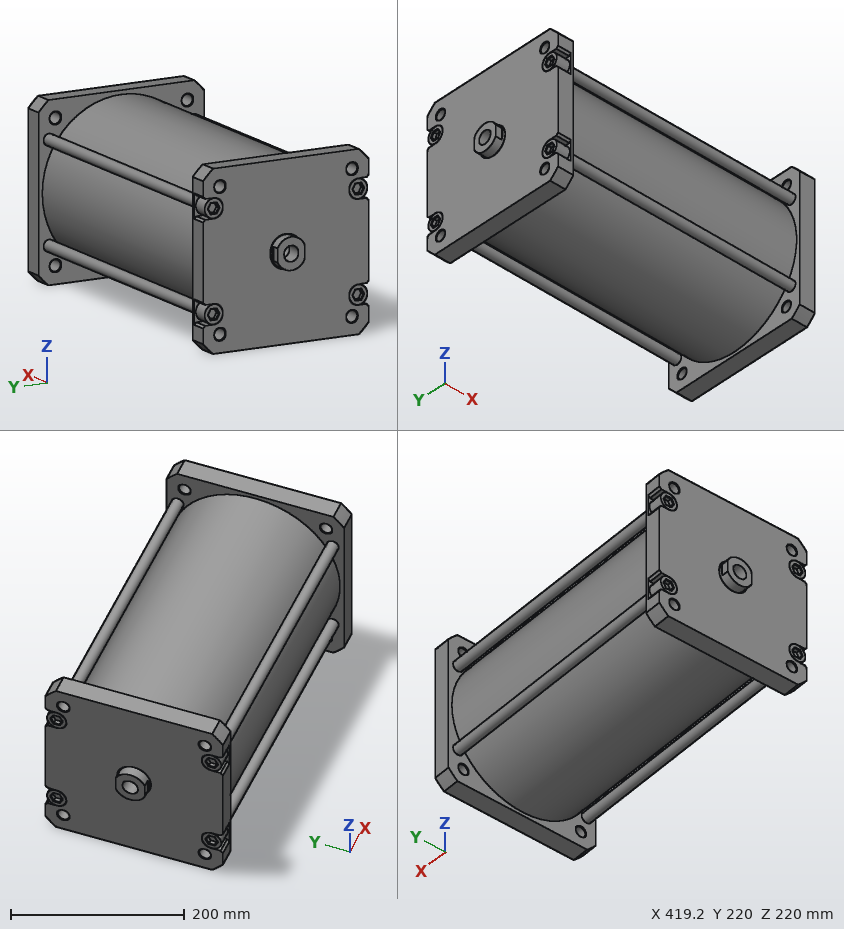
import cadquery as cq
import math

total_length = 419.2
plate_thickness = 24.5
rod_projection = 12.0
front_plate_x = rod_projection
barrel_x = front_plate_x + plate_thickness
rear_plate_x = total_length - plate_thickness
barrel_length = rear_plate_x - barrel_x

plate_side = 220.0
plate_corner_diameter = 293.0
mounting_hole_offset = 87.5
mounting_hole_diameter = 14.3
mounting_hole_chamfer = 1.0

barrel_diameter = 210.0

bolt_y = 96.0
bolt_z = 63.0
bolt_diameter = 14.5
bolt_head_diameter = 24.0
bolt_head_length = 20.5
bolt_thread_depth = 20.0
socket_width = 12.0
socket_depth = 6.0
socket_chamfer = 1.0
head_slot_width = 24.7
slot_mouth_chamfer = 3.0

rod_diameter = 40.0
rod_bore_chamfer = 1.3
flat_width = 36.0
flat_length = 9.5
rod_hole_diameter = 19.3
rod_hole_depth = 21.0
drill_point_angle = 118.0

bolt_positions = [(y, z) for y in (-bolt_y, bolt_y) for z in (-bolt_z, bolt_z)]


def section_at(x):
    """Workplane facing +X at the given x, with local axes along Y and Z."""
    return cq.Workplane("YZ", origin=(x, 0, 0))


def make_cylinder(x, diameter, length, y=0.0, z=0.0):
    return section_at(x).center(y, z).circle(diameter / 2).extrude(length)


def make_chamfered_hole(x, diameter, chamfer, y=0.0, z=0.0):
    """Cutter for a plate through hole with a 45 degree chamfer at its -X end."""
    hole = make_cylinder(x, diameter, plate_thickness, y, z)
    rim = section_at(x).center(y, z).circle(diameter / 2 + chamfer).extrude(chamfer, taper=45)
    return hole.union(rim)


def make_plain_plate(x):
    """End plate with turned corners and mounting holes chamfered on the -X face."""
    plate = section_at(x).rect(plate_side, plate_side).extrude(plate_thickness)
    plate = plate.intersect(make_cylinder(x, plate_corner_diameter, plate_thickness))
    for y in (-mounting_hole_offset, mounting_hole_offset):
        for z in (-mounting_hole_offset, mounting_hole_offset):
            plate = plate.cut(make_chamfered_hole(x, mounting_hole_diameter, mounting_hole_chamfer, y, z))
    return plate


def make_head_slot(y, z):
    """Round-ended slot for a bolt head, open to the nearest Y side with a chamfered mouth."""
    side = math.copysign(1, y)
    edge_y = side * plate_side / 2
    half_width = head_slot_width / 2
    mouth_half_width = half_width + slot_mouth_chamfer
    mouth_y = edge_y - side * slot_mouth_chamfer
    return (
        section_at(front_plate_x)
        .moveTo(y, z + half_width)
        .lineTo(mouth_y, z + half_width)
        .lineTo(edge_y, z + mouth_half_width)
        .lineTo(edge_y, z - mouth_half_width)
        .lineTo(mouth_y, z - half_width)
        .lineTo(y, z - half_width)
        .threePointArc((y - side * half_width, z), (y, z + half_width))
        .close()
        .extrude(bolt_head_length)
    )


def make_front_plate():
    plate = make_plain_plate(front_plate_x)
    plate = plate.cut(make_chamfered_hole(front_plate_x, rod_diameter, rod_bore_chamfer))
    for y, z in bolt_positions:
        plate = plate.cut(make_head_slot(y, z))
        plate = plate.cut(make_cylinder(front_plate_x, bolt_diameter, plate_thickness, y, z))
    return plate


def make_rear_plate():
    plate = make_plain_plate(rear_plate_x)
    for y, z in bolt_positions:
        plate = plate.cut(make_cylinder(rear_plate_x, bolt_diameter, bolt_thread_depth, y, z))
    return plate


def make_barrel():
    return make_cylinder(barrel_x, barrel_diameter, barrel_length)


def make_hex_socket(y, z):
    """Hexagonal recess in a bolt head with a bevelled rim."""
    corner_ratio = 1 / math.cos(math.radians(30))
    rim_width = socket_width + 2 * socket_chamfer
    face = section_at(front_plate_x).center(y, z)
    recess = face.polygon(6, socket_width * corner_ratio).extrude(socket_depth)
    rim = face.polygon(6, rim_width * corner_ratio).extrude(socket_chamfer, taper=45)
    return recess.union(rim)


def make_tie_bolt(y, z):
    """Socket head bolt reaching from the front plate face into the rear plate."""
    shank_length = rear_plate_x + bolt_thread_depth - front_plate_x
    head = make_cylinder(front_plate_x, bolt_head_diameter, bolt_head_length, y, z)
    shank = make_cylinder(front_plate_x, bolt_diameter, shank_length, y, z)
    return head.union(shank).cut(make_hex_socket(y, z))


def make_rod_hole():
    """Blind drilled hole with a conical bottom, entering the rod tip along X."""
    radius = rod_hole_diameter / 2
    point_length = radius / math.tan(math.radians(drill_point_angle / 2))
    return (
        cq.Workplane("XY")
        .polyline([(0, 0), (0, radius), (rod_hole_depth, radius), (rod_hole_depth + point_length, 0)])
        .close()
        .revolve(360, (0, 0, 0), (1, 0, 0))
    )


def make_piston_rod():
    rod = make_cylinder(0, rod_diameter, barrel_x)
    flatted_tip = section_at(0).rect(flat_width, rod_diameter).extrude(flat_length)
    outside_flats = make_cylinder(0, rod_diameter, flat_length).cut(flatted_tip)
    return rod.cut(outside_flats).cut(make_rod_hole())


front_plate = make_front_plate()
rear_plate = make_rear_plate()
barrel = make_barrel()
piston_rod = make_piston_rod()
tie_bolts = [make_tie_bolt(y, z) for y, z in bolt_positions]

result = cq.Compound.makeCompound([
    front_plate.val(),
    rear_plate.val(),
    barrel.val(),
    piston_rod.val(),
    *[bolt.val() for bolt in tie_bolts],
])